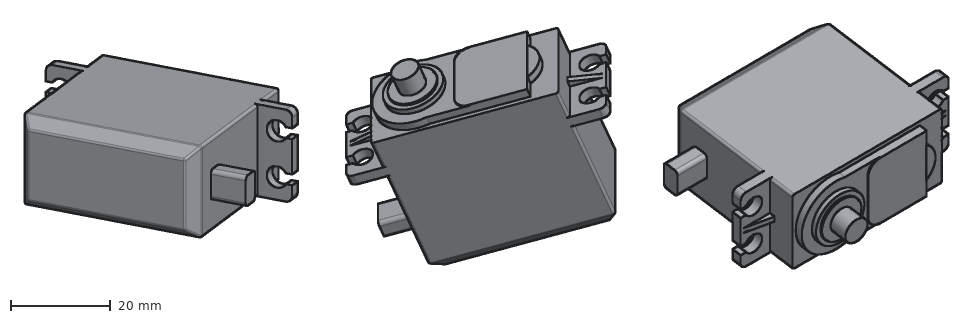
import cadquery as cq
import math


case_length = 39.9
case_height = 37.3
thickness = 19.96
taper_height = 3.15
taper_inset = 2.3
case_round = 0.6

ear_span = 55.44
ear_bottom = 27.95
ear_thickness = 2.5
ear_corner_round = 1.5
hole_radius = 2.3
hole_spacing_x = 48.6
hole_spacing_z = 10.0
slot_width = 2.35

rib_width = 1.3
rib_height = 1.45
rib_end_gap = 0.9

cable_reach = 27.8
cable_bottom = 7.1
cable_height = 4.2
cable_width = 6.6
cable_round = 0.9

cover_height = 1.85
raised_height = 2.1
cover_half_width = 8.82
cover_left = -14.05
raised_right = 1.5
raised_corner_round = 3.2
lobe_radius = 5.8
lobe_left = -16.6
gear_disc_radius = 9.15

shaft_x = 9.9
collar_radius = 6.45
collar_top = 40.4
step_radius = 5.25
step_top = 40.85
shaft_radius = 2.95
total_height = 45.35

ear_top = ear_bottom + ear_thickness


def block(x_range, y_range, width_z):
    """Box between two X and two Y limits, centred on Z = 0."""
    length = x_range[1] - x_range[0]
    height = y_range[1] - y_range[0]
    return (
        cq.Workplane("XY")
        .box(length, height, width_z, centered=(False, False, True))
        .translate((x_range[0], y_range[0], 0))
    )


def post(x, radius, bottom, top):
    """Cylinder along Y centred on the XZ position (x, 0)."""
    base = cq.Vector(x, bottom, 0)
    return cq.Workplane(cq.Solid.makeCylinder(radius, top - bottom, base, cq.Vector(0, 1, 0)))


def make_case():
    half_length = case_length / 2
    body = block((-half_length, half_length), (taper_height, case_height), thickness)
    taper_angle = math.degrees(math.atan2(taper_inset, taper_height))
    taper = (
        cq.Workplane("XZ", origin=(0, taper_height, 0))
        .rect(case_length, thickness)
        .extrude(taper_height, taper=taper_angle)
    )
    case = body.union(taper)
    return case.edges("not(>Y)").fillet(case_round)


def make_ears():
    half_span = ear_span / 2
    ears = block((-half_span, half_span), (ear_bottom, ear_top), thickness)
    ears = ears.edges("|Y").fillet(ear_corner_round)
    for side in (-1, 1):
        hole_x = side * hole_spacing_x / 2
        slot_range = sorted((hole_x, side * half_span))
        for hole_z in (-hole_spacing_z / 2, hole_spacing_z / 2):
            hole = post(hole_x, hole_radius, ear_bottom, ear_top)
            slot = block(slot_range, (ear_bottom, ear_top), slot_width)
            ears = ears.cut(hole.union(slot).translate((0, 0, hole_z)))
    return ears


def make_rib(side):
    wall = side * case_length / 2
    tip = side * (ear_span / 2 - rib_end_gap)
    outline = [(0, ear_top), (tip, ear_top), (wall, ear_top + rib_height), (0, ear_top + rib_height)]
    return cq.Workplane("XY").polyline(outline).close().extrude(rib_width / 2, both=True)


def make_cable_exit():
    cable = block((0, cable_reach), (cable_bottom, cable_bottom + cable_height), cable_width)
    return cable.edges("|X").fillet(cable_round)


def make_gear_cover():
    cover_top = case_height + cover_height
    raised_top = case_height + raised_height
    raised = block((cover_left, raised_right), (case_height, raised_top), 2 * cover_half_width)
    raised = raised.edges("|Y and >X").fillet(raised_corner_round)
    side_reach = math.sqrt(gear_disc_radius**2 - cover_half_width**2)
    plate_right = shaft_x - side_reach
    plate = block((cover_left, plate_right), (case_height, cover_top), 2 * cover_half_width)
    lobe = post(lobe_left + lobe_radius, lobe_radius, case_height, cover_top)
    disc = post(shaft_x, gear_disc_radius, case_height, cover_top)
    return plate.union(disc).union(lobe).union(raised)


def make_output_shaft():
    collar = post(shaft_x, collar_radius, case_height, collar_top)
    step = post(shaft_x, step_radius, case_height, step_top)
    shaft = post(shaft_x, shaft_radius, case_height, total_height)
    return collar.union(step).union(shaft)


result = make_case().union(make_ears()).union(make_cable_exit())
for rib_side in (-1, 1):
    result = result.union(make_rib(rib_side))
result = result.union(make_gear_cover()).union(make_output_shaft())